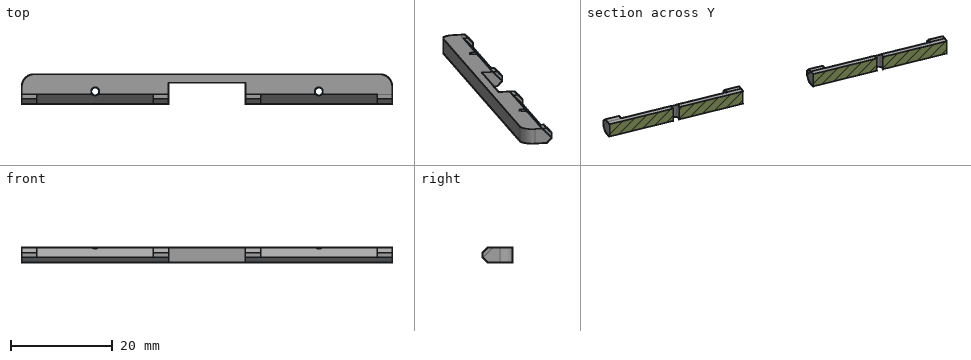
import cadquery as cq

length = 72.8
depth = 5.9
height = 3.0
corner_radius = 2.5
notch_width = 15.1
web_depth = 1.75
slope = 2.0
edge_chamfer = 1.0
pad_length = 3.0
hole_diameter = 1.5
hole_from_back = 3.4

end_x = length / 2
front_y = -depth / 2
back_y = depth / 2
bottom_z = -height / 2
top_z = height / 2
notch_half = notch_width / 2
arm_middle_x = (end_x + notch_half) / 2
slope_foot_z = top_z - slope


def make_bar():
    """Notched bar with rounded back corners, sloped front edges and two holes."""
    profile = [
        (back_y, bottom_z),
        (back_y, top_z),
        (front_y + slope, top_z),
        (front_y, slope_foot_z),
        (front_y + edge_chamfer, bottom_z),
    ]
    bar = cq.Workplane("YZ", origin=(-end_x, 0, 0)).polyline(profile).close().extrude(length)
    bar = bar.edges("|Z and >Y").fillet(corner_radius)

    notch_depth = depth - web_depth
    notch = cq.Workplane("XY").box(notch_width, notch_depth, height)
    bar = bar.cut(notch.translate((0, front_y + notch_depth / 2, 0)))

    holes = (
        cq.Workplane("XY", origin=(0, 0, bottom_z))
        .pushPoints([(-arm_middle_x, back_y - hole_from_back), (arm_middle_x, back_y - hole_from_back)])
        .circle(hole_diameter / 2)
        .extrude(height)
    )
    return bar.cut(holes)


def make_pad(start_x):
    """Pad that fills the sloped edge for one pad length, starting at start_x."""
    profile = [
        (front_y + slope, top_z),
        (front_y + edge_chamfer, top_z),
        (front_y, top_z - edge_chamfer),
        (front_y, slope_foot_z),
    ]
    return cq.Workplane("YZ", origin=(start_x, 0, 0)).polyline(profile).close().extrude(pad_length)


separate_pad_starts = [-end_x, -notch_half - pad_length, notch_half]
bar = make_bar().union(make_pad(end_x - pad_length), clean=False)
pads = [make_pad(start_x) for start_x in separate_pad_starts]

result = cq.Compound.makeCompound([bar.solids().val(), *[pad.val() for pad in pads]])